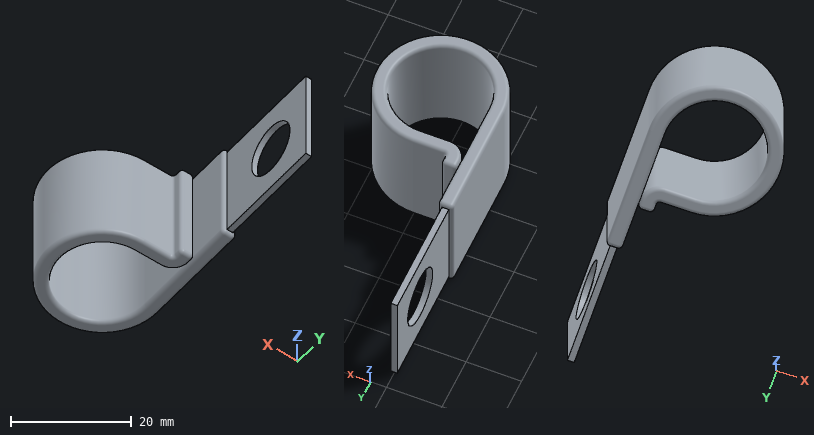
import cadquery as cq
import math

loop_outer_radius = 11.505
strap_thickness = 1.22
strap_width = 19.05
cushion_cover = 0.76
loop_bottom_to_tab_end = 54.36
leg_end_y = 21.46
hook_tip_y = 13.68
hook_inner_radius = 0.5
hook_gap = 0.06
hole_diameter = 10.32
hole_to_tab_end = strap_width / 2

cushion_thickness = strap_thickness + 2 * cushion_cover
cushion_width = strap_width + 2 * cushion_cover
loop_inner_radius = loop_outer_radius - cushion_thickness
tab_end_y = loop_bottom_to_tab_end - loop_outer_radius
hook_outer_radius = hook_inner_radius + cushion_thickness
hook_near_x = -loop_inner_radius + hook_gap
hook_far_x = hook_near_x + cushion_thickness
bend_x = hook_near_x + hook_outer_radius
bend_y = loop_inner_radius + hook_outer_radius


def bend_midpoint(radius):
    """Middle of the hook's quarter bend at the given radius."""
    offset = radius * math.cos(math.radians(45))
    return (bend_x - offset, bend_y - offset)


def loop_midpoint(radius):
    """Middle of the three-quarter loop at the given radius."""
    offset = radius * math.cos(math.radians(45))
    return (offset, -offset)


def make_cushion():
    """Rounded cushion: straight leg, three-quarter loop and out-turned hook."""
    cushion = (
        cq.Workplane("XY")
        .workplane(offset=-cushion_width / 2)
        .moveTo(-loop_outer_radius, leg_end_y)
        .lineTo(-loop_outer_radius, 0)
        .threePointArc(loop_midpoint(loop_outer_radius), (0, loop_outer_radius))
        .lineTo(bend_x, loop_outer_radius)
        .threePointArc(bend_midpoint(hook_inner_radius), (hook_far_x, bend_y))
        .lineTo(hook_far_x, hook_tip_y)
        .lineTo(hook_near_x, hook_tip_y)
        .lineTo(hook_near_x, bend_y)
        .threePointArc(bend_midpoint(hook_outer_radius), (bend_x, loop_inner_radius))
        .lineTo(0, loop_inner_radius)
        .threePointArc(loop_midpoint(loop_inner_radius), (-loop_inner_radius, 0))
        .lineTo(-loop_inner_radius, leg_end_y)
        .close()
        .extrude(cushion_width)
    )
    hook_tip_center = ((hook_near_x + hook_far_x) / 2, hook_tip_y, 0)
    rims = cushion.faces("<Z or >Z").edges()
    leg_end = cushion.faces(">Y").edges("|Z")
    hook_tip = cushion.faces(cq.NearestToPointSelector(hook_tip_center)).edges("|Z")
    return cushion.newObject(rims.vals() + leg_end.vals() + hook_tip.vals()).fillet(cushion_cover)


def make_tab():
    """Bare end of the strap, rooted inside the cushioned leg, with its mounting hole."""
    tab_root_y = leg_end_y - cushion_thickness
    tab = cq.Workplane("XY").box(
        strap_thickness, tab_end_y - tab_root_y, strap_width, centered=(False, False, True)
    )
    tab = tab.translate((-loop_outer_radius + cushion_cover, tab_root_y, 0))
    hole = (
        cq.Workplane("YZ")
        .workplane(offset=-loop_outer_radius)
        .center(tab_end_y - hole_to_tab_end, 0)
        .circle(hole_diameter / 2)
        .extrude(cushion_thickness)
    )
    return tab.cut(hole)


result = make_cushion().union(make_tab())